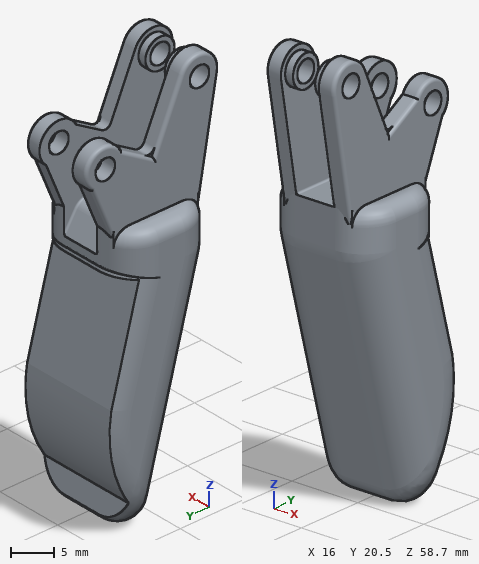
import cadquery as cq
import math


eye_radius = 3.0
pivot_hole = 3.0
pivot_spacing = 16.0
rear_pivot_y = 14.52
rear_pivot_z = -math.sqrt(pivot_spacing**2 - rear_pivot_y**2)
plate_gap = 5.75
plate_thickness = 2.3
plate_edge_round = 0.5
notch_y = 6.95
notch_z = -8.25
notch_round = 1.0
rear_arm_upper_angle = 153
rear_arm_lower_angle = -49
boss_diameter = 4.5
boss_length = 1.2

width = 16.0
corner_radius = 5.0
cap_depth = 14.0
cap_front_y = -0.27
cap_rear_y = cap_front_y + cap_depth
cap_middle_y = cap_front_y + cap_depth / 2
cap_height = 12.0
cap_top_z = -15.65
cap_top_round = 2.1
plate_foot_depth = 3.0
plate_foot_z = cap_top_z - plate_foot_depth

ramp_angle = 58
ramp_start_y = 11.3
ramp_round = 2.0
floor_fillet = 0.28
slot_depth = 5.0
slot_bottom_z = cap_top_z - slot_depth

lean = 15
finger_depth = 13.5
bend_y = cap_front_y + corner_radius
bend_z = -21.05
inner_bend_depth = 2.2
heel_slope = 7.5

pad_depth = 2.45
pad_start_z = -19.0
pad_centre_z = -17.23
pad_centre_y = -13.0

tip_round = 3.0
core_top_z = 10.0

half_width = width / 2
flat_half = half_width - corner_radius
plate_inner_x = plate_gap / 2
plate_outer_x = plate_inner_x + plate_thickness

far = 60.0
near = 0.1


finger_front_y = -corner_radius
finger_rear_y = finger_front_y + finger_depth
rear_bend_y = finger_rear_y - corner_radius
pad_rear_y = finger_rear_y - pad_depth
pad_arc_radius = math.hypot(pad_start_z - pad_centre_z, pad_rear_y - pad_centre_y)
back_arc_radius = pad_arc_radius + pad_depth

lean_sin = math.sin(math.radians(lean))
lean_cos = math.cos(math.radians(lean))
heel_tan = math.tan(math.radians(heel_slope))
inner_bend_y = bend_y + rear_bend_y * lean_cos + inner_bend_depth * lean_sin
inner_bend_z = bend_z + rear_bend_y * lean_sin - inner_bend_depth * lean_cos


def arc_depth(radius, y):
    """Upright-frame Z where an arc about the pad centre reaches the given Y."""
    return pad_centre_z - math.sqrt(radius**2 - (y - pad_centre_y) ** 2)


def lean_back(shape):
    """Move a finger shape from its own upright frame, centred on the bend axis, into place."""
    return shape.rotate((0, 0, 0), (1, 0, 0), lean).translate((0, bend_y, bend_z))


def side_prism(points, half_length):
    """Polygon in the YZ plane, extruded to both sides of the centre plane."""
    return cq.Workplane("YZ").polyline(points).close().extrude(half_length, both=True)


def edges_at(shape, y, z):
    """Edges of a YZ prism that run across it, through the given place."""
    box = cq.selectors.BoxSelector((-far, y - near, z - near), (far, y + near, z + near))
    return shape.edges("|X").edges(box)


def make_cap():
    """Rounded block with a rounded top rim, which stops where the fork plates stand."""
    block = (
        cq.Workplane("XY", origin=(0, cap_middle_y, cap_top_z))
        .rect(width, cap_depth)
        .extrude(-cap_height)
        .edges("|Z")
        .fillet(corner_radius)
    )
    under_plates = block.intersect(cq.Workplane("XY").box(2 * plate_outer_x, far, far))
    block = block.faces(">Z").edges().fillet(cap_top_round).union(under_plates)
    heel_rise = (far - inner_bend_y) * lean_sin / lean_cos
    above_finger = side_prism(
        [
            (-far, bend_z),
            (bend_y, bend_z),
            (inner_bend_y, inner_bend_z),
            (far, inner_bend_z + heel_rise),
            (far, far),
            (-far, far),
        ],
        width,
    )
    return block.intersect(above_finger)


def make_bend():
    """Front half of the section, swung about the bend axis from upright to the lean."""
    return (
        cq.Workplane("XY", origin=(0, bend_y, bend_z))
        .moveTo(-half_width, 0)
        .radiusArc((-flat_half, -corner_radius), -corner_radius)
        .lineTo(flat_half, -corner_radius)
        .radiusArc((half_width, 0), -corner_radius)
        .close()
        .revolve(lean, (0, 0, 0), (1, 0, 0))
    )


def finger_core():
    """Finger shrunk by the tip radius on every side and run on upwards, with a sharp tip."""
    core_front_y = finger_front_y + tip_round
    core_rear_y = finger_rear_y - tip_round
    core_arc_radius = back_arc_radius - tip_round
    core_width = width - 2 * tip_round
    core_corner_radius = corner_radius - tip_round
    arched_back = (
        cq.Workplane("YZ")
        .moveTo(core_front_y, core_top_z)
        .lineTo(core_front_y, arc_depth(core_arc_radius, core_front_y))
        .radiusArc((core_rear_y, arc_depth(core_arc_radius, core_rear_y)), -core_arc_radius)
        .lineTo(core_rear_y, core_top_z)
        .close()
        .extrude(core_width / 2, both=True)
    )
    behind_front = cq.selectors.BoxSelector((-far, near, -far), (far, far, core_top_z - near))
    arched_back = arched_back.edges("not |X").edges(behind_front).fillet(core_corner_radius)
    rounded_front = (
        cq.Workplane("XY", origin=(0, core_front_y + far / 2, core_top_z))
        .rect(core_width, far)
        .extrude(-far)
        .edges("|Z and <Y")
        .fillet(core_corner_radius)
    )
    return arched_back.intersect(rounded_front)


def make_finger():
    """Finger in its upright frame: the core swelled by the tip radius, cut off at the bend."""
    swelled = finger_core().shell(tip_round, "arc").val()
    finger = cq.Workplane(obj=cq.Solid.makeSolid(swelled.Shells()[0]))
    below_bend = side_prism(
        [
            (-far, 0),
            (0, 0),
            (rear_bend_y, -inner_bend_depth),
            (far, -inner_bend_depth),
            (far, -far),
            (-far, -far),
        ],
        width,
    )
    return finger.intersect(below_bend)


def make_pad_recess():
    """Cutter for the rear of the finger: flat, then an arc that ends at mid depth of the tip."""
    recess_start_z = -inner_bend_depth - (pad_rear_y - rear_bend_y) * heel_tan
    recess_top_z = -inner_bend_depth - (far - rear_bend_y) * heel_tan
    return (
        cq.Workplane("YZ")
        .moveTo(pad_rear_y, recess_start_z)
        .lineTo(pad_rear_y, pad_start_z)
        .radiusArc((0, arc_depth(pad_arc_radius, 0)), pad_arc_radius)
        .lineTo(0, -far)
        .lineTo(far, -far)
        .lineTo(far, recess_top_z)
        .close()
        .extrude(half_width, both=True)
    )


def eye_point(y, z, angle):
    """Point on the rim of the eye centred at (y, z)."""
    return (y + eye_radius * math.cos(angle), z + eye_radius * math.sin(angle))


def front_eye_tangent(y, z, side):
    """Where a line from (y, z) touches the front eye; side is +1 or -1 for the two tangents."""
    spread = math.acos(eye_radius / math.hypot(y, z))
    return eye_point(0, 0, math.atan2(z, y) + side * spread)


def foot_point(start, rim):
    """Carry the line from start through a cap rim point on down to the plate's foot."""
    slope = (rim[0] - start[0]) / (rim[1] - start[1])
    return (rim[0] + slope * (plate_foot_z - rim[1]), plate_foot_z)


front_tangent = front_eye_tangent(cap_front_y, cap_top_z, -1)
notch_tangent = front_eye_tangent(notch_y, notch_z, 1)
rear_arm_upper = eye_point(rear_pivot_y, rear_pivot_z, math.radians(rear_arm_upper_angle))
rear_arm_lower = eye_point(rear_pivot_y, rear_pivot_z, math.radians(rear_arm_lower_angle))


def plate_blank():
    """Flat fork plate: two eyes on arms that meet in a notch, running down into the cap."""
    return (
        cq.Workplane("YZ")
        .moveTo(*foot_point(front_tangent, (cap_front_y, cap_top_z)))
        .lineTo(*front_tangent)
        .threePointArc((0, eye_radius), notch_tangent)
        .lineTo(notch_y, notch_z)
        .lineTo(*rear_arm_upper)
        .threePointArc((rear_pivot_y + eye_radius, rear_pivot_z), rear_arm_lower)
        .lineTo(*foot_point(rear_arm_lower, (cap_rear_y, cap_top_z)))
        .close()
        .extrude(plate_thickness)
    )


def notch_filler():
    """Rounds the bottom of the notch, short of the plate's rounded outer edge."""
    front_side = math.atan2(notch_tangent[1] - notch_z, notch_tangent[0] - notch_y)
    rear_side = math.atan2(rear_arm_upper[1] - notch_z, rear_arm_upper[0] - notch_y)
    reach = notch_round / math.tan((front_side - rear_side) / 2)
    front_end = (notch_y + reach * math.cos(front_side), notch_z + reach * math.sin(front_side))
    rear_end = (notch_y + reach * math.cos(rear_side), notch_z + reach * math.sin(rear_side))
    return (
        cq.Workplane("YZ")
        .moveTo(notch_y, notch_z)
        .lineTo(*front_end)
        .radiusArc(rear_end, -notch_round)
        .close()
        .extrude(plate_thickness - plate_edge_round)
    )


def make_plate():
    """The +X fork plate, with its outer outline rounded and a boss on its inner face."""
    plate = plate_blank().faces(">X").edges("not <Z").fillet(plate_edge_round)
    boss = cq.Workplane("YZ").circle(boss_diameter / 2).extrude(-boss_length)
    return plate.union(notch_filler()).union(boss).translate((plate_inner_x, 0, 0))


def make_pivot_holes():
    """Pins through both eyes of both plates."""
    return (
        cq.Workplane("YZ")
        .pushPoints([(0, 0), (rear_pivot_y, rear_pivot_z)])
        .circle(pivot_hole / 2)
        .extrude(far, both=True)
    )


def slot_block(length, top_z):
    """Block filling the space between the plates, centred on the cap from front to rear."""
    return (
        cq.Workplane("XY", origin=(0, cap_middle_y, slot_bottom_z))
        .rect(plate_gap, length)
        .extrude(top_z - slot_bottom_z)
    )


def make_floor():
    """Fork floor between the plates: level, then rounded over into a ramp, filleted to the plates."""
    ramp_drop = (far - ramp_start_y) * math.tan(math.radians(ramp_angle))
    opening = side_prism(
        [
            (-far, cap_top_z),
            (ramp_start_y, cap_top_z),
            (far, cap_top_z - ramp_drop),
            (far, far),
            (-far, far),
        ],
        plate_inner_x,
    )
    opening = edges_at(opening, ramp_start_y, cap_top_z).fillet(ramp_round)
    arc_edge = cq.selectors.BoxSelector(
        (-far, ramp_start_y - ramp_round, cap_top_z - ramp_round),
        (far, ramp_start_y + ramp_round, cap_top_z + near),
    )
    opening = opening.edges("%CIRCLE").edges(arc_edge).fillet(floor_fillet)
    return slot_block(cap_depth, cap_top_z + floor_fillet).cut(opening)


plate = make_plate()
finger = make_finger().cut(make_pad_recess())
result = make_cap().cut(slot_block(far, far)).union(make_floor())
result = result.union(plate).union(plate.mirror("YZ"))
result = result.union(make_bend()).union(lean_back(finger))
result = result.cut(make_pivot_holes()).clean()